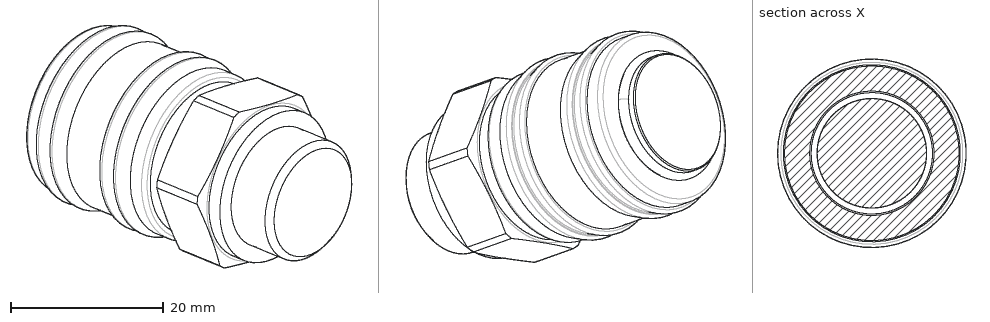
import cadquery as cq
import math


groove_start = 1.1
sleeve_start = 2.65
sleeve_end = 24.15
hex_start = 26.65
hex_end = 34.7
flange_end = 36.65
total_length = 43.6

cap_diameter = 15.95
cap_chamfer = 0.17
groove_diameter = 14.45
recess_diameter = 16.65
recess_depth = (recess_diameter - cap_diameter) / 2

sleeve_diameter = 23.3
sleeve_round = 0.52
rib_diameter = 24.8
rib_slope = math.radians(20.5)
rib_crest_round = 0.45
rib_root_round = 0.15
rib_pitch = 2.5
rib_pair_starts = (5.15, 16.55)

collar_diameter = 21.0
hex_across_flats = 22.0
hex_corner_diameter = rib_diameter
hex_turn = 22.6
hex_face_diameter = 21.8
hex_chamfer_angle = math.radians(15)
thread_diameter = 16.65
thread_end_diameter = 14.95
thread_chamfer = (thread_diameter - thread_end_diameter) / 2

ring_wire_diameter = sleeve_start - groove_start
ring_centre_radius = (groove_diameter + ring_wire_diameter) / 2
ring_gap_width = 1.0
ring_gap_turn = 14.2


def turned(outline):
    """Revolve a closed (x, radius) outline around the X axis."""
    return cq.Workplane("XY").polyline(outline).close().revolve(360, (0, 0, 0), (1, 0, 0))


def cylinder(start, end, diameter):
    """Solid cylinder along X from start to end."""
    return cq.Workplane("YZ").workplane(offset=start).circle(diameter / 2).extrude(end - start)


def make_cap():
    """Front cap and the narrower neck that forms the floor of the ring groove."""
    cap = cylinder(0, groove_start, cap_diameter).faces("<X").chamfer(cap_chamfer)
    neck = cylinder(groove_start, sleeve_start + recess_depth, groove_diameter)
    return cap.union(neck)


def make_sleeve():
    """Sleeve with two pairs of saw-tooth ribs, steep on the cap side."""
    base = sleeve_diameter / 2
    crest_extra = rib_crest_round * (1 / math.cos(rib_slope) + math.tan(rib_slope) - 1)
    sharp_crest = rib_diameter / 2 + crest_extra
    rib_length = (sharp_crest - base) / math.tan(rib_slope)
    root = sharp_crest - rib_pitch * math.tan(rib_slope)

    outline = [(sleeve_start, 0), (sleeve_start, base)]
    for first in rib_pair_starts:
        second = first + rib_pitch
        outline += [(first, base), (first, sharp_crest)]
        outline += [(second, root), (second, sharp_crest)]
        outline += [(second + rib_length, base)]
    outline += [(sleeve_end, base), (sleeve_end, 0)]

    sleeve = turned(outline).faces("<X or >X").edges().fillet(sleeve_round)
    sleeve = sleeve.edges("%CIRCLE").edges(cq.selectors.RadiusNthSelector(-2)).fillet(rib_root_round)
    sleeve = sleeve.edges("%CIRCLE").edges(cq.selectors.RadiusNthSelector(-1)).fillet(rib_crest_round)
    return sleeve.cut(make_recess())


def make_recess():
    """Conical mouth in the sleeve face beside the ring."""
    bottom = sleeve_start + recess_depth
    return turned([
        (sleeve_start, 0),
        (sleeve_start, recess_diameter / 2),
        (bottom, cap_diameter / 2),
        (bottom, 0),
    ])


def make_hexagon():
    """Hexagon with turned-down corners and a conical chamfer at both ends."""
    hexagon = (
        cq.Workplane("YZ")
        .workplane(offset=hex_start)
        .polygon(6, hex_across_flats, circumscribed=True)
        .extrude(hex_end - hex_start)
        .rotate((0, 0, 0), (1, 0, 0), hex_turn)
    )
    face_radius = hex_face_diameter / 2
    corner_radius = hex_corner_diameter / 2
    chamfer_length = (corner_radius - face_radius) * math.tan(hex_chamfer_angle)
    envelope = turned([
        (hex_start, 0),
        (hex_start, face_radius),
        (hex_start + chamfer_length, corner_radius),
        (hex_end - chamfer_length, corner_radius),
        (hex_end, face_radius),
        (hex_end, 0),
    ])
    return hexagon.intersect(envelope)


def make_body():
    """Coupling body from the cap to the chamfered connecting end."""
    collar = cylinder(sleeve_end, hex_start, collar_diameter)
    flange = cylinder(hex_end, flange_end, collar_diameter)
    thread = cylinder(flange_end, total_length, thread_diameter).faces(">X").chamfer(thread_chamfer)
    body = make_cap()
    for section in (make_sleeve(), collar, make_hexagon(), flange, thread):
        body = body.union(section)
    return body


def make_ring():
    """Round-wire ring with a parallel-sided gap near the top, turned towards -Y."""
    ring = (
        cq.Workplane("XY")
        .center((groove_start + sleeve_start) / 2, ring_centre_radius)
        .circle(ring_wire_diameter / 2)
        .revolve(360, (0, -ring_centre_radius, 0), (1, -ring_centre_radius, 0))
    )
    gap_height = ring_centre_radius + ring_wire_diameter
    gap = (
        cq.Workplane("XY")
        .box(2 * sleeve_start, ring_gap_width, gap_height, centered=(True, True, False))
        .rotate((0, 0, 0), (1, 0, 0), ring_gap_turn)
    )
    return ring.cut(gap)


body = make_body()
ring = make_ring()
result = cq.Compound.makeCompound([body.val(), ring.val()])